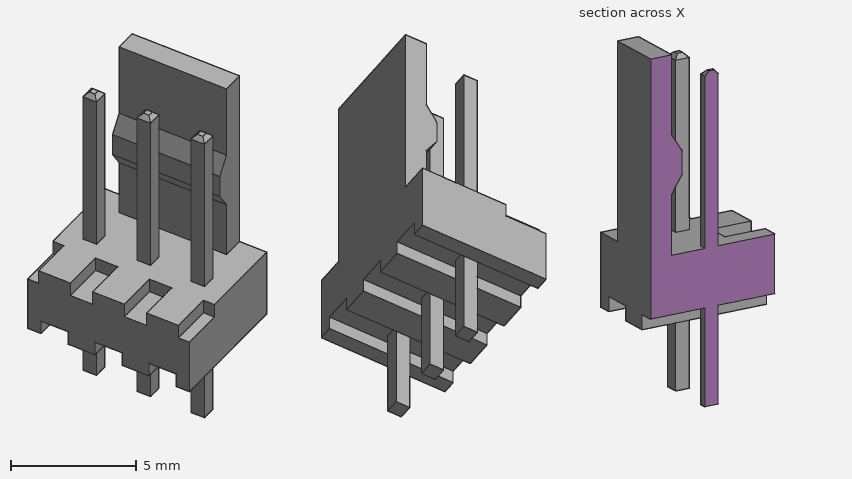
import cadquery as cq

pin_count = 3
pitch = 2.55
body_length = 7.62
body_depth = 5.84
body_bottom = 3.55
body_top = 6.74
total_height = 15.24
front_y = -body_depth / 2
back_y = body_depth / 2

pin_width = 0.64
pin_y = back_y - 2.87
pin_top = 14.23
tip_height = 0.2
tip_width = 0.26

wall_width = 5.06
wall_thickness = 0.99
ridge_height = 0.5
ridge_bottom = 9.3
ridge_top = 11.84
ridge_slope_height = 0.76

slot_width = 1.05
slot_length = 1.89
slot_depth = 0.64
channel_width = 1.28
channel_depth = 0.64

pin_positions = [(i - (pin_count - 1) / 2) * pitch for i in range(pin_count)]
slot_positions = [(i - pin_count / 2) * pitch for i in range(pin_count + 1)]


def block(x_center, x_size, y_min, y_size, z_min, z_size):
    """Box centered on x_center, starting at y_min and z_min."""
    box = cq.Workplane("XY").box(x_size, y_size, z_size, centered=(True, False, False))
    return box.translate((x_center, y_min, z_min))


def make_body():
    body = block(0, body_length, front_y, body_depth, body_bottom, body_top - body_bottom)
    for x in slot_positions:
        body = body.cut(block(x, slot_width, front_y, slot_length, body_top - slot_depth, slot_depth))
    for x in pin_positions:
        body = body.cut(block(x, channel_width, front_y, body_depth, body_bottom, channel_depth))
    return body


def make_latch_wall():
    wall_face = back_y - wall_thickness
    ridge_face = wall_face - ridge_height
    profile = [
        (back_y, body_top),
        (wall_face, body_top),
        (wall_face, ridge_bottom),
        (ridge_face, ridge_bottom + ridge_slope_height),
        (ridge_face, ridge_top - ridge_slope_height),
        (wall_face, ridge_top),
        (wall_face, total_height),
        (back_y, total_height),
    ]
    return cq.Workplane("YZ").polyline(profile).close().extrude(wall_width / 2, both=True)


def make_pin(x):
    shaft_height = pin_top - tip_height
    shaft = block(x, pin_width, pin_y - pin_width / 2, pin_width, 0, shaft_height)
    tip = (
        cq.Workplane("XY", origin=(x, pin_y, shaft_height))
        .rect(pin_width, pin_width)
        .workplane(offset=tip_height)
        .rect(tip_width, tip_width)
        .loft(ruled=True)
    )
    return shaft.union(tip)


result = make_body().union(make_latch_wall())
for pin_x in pin_positions:
    result = result.union(make_pin(pin_x))